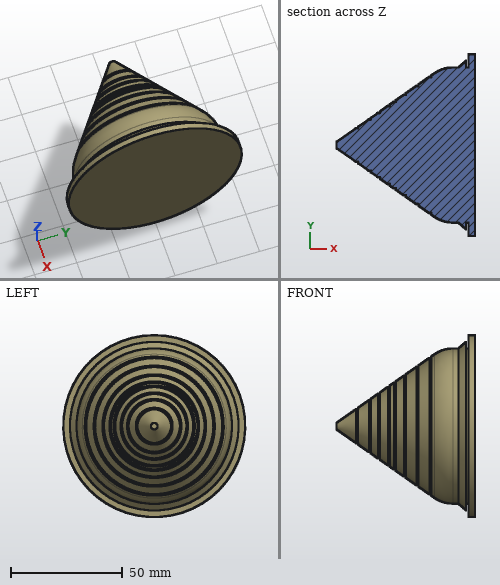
import cadquery as cq
import math

length = 62.5
flange_radius = 41.0
flange_thickness = 3.0
body_radius = 35.0
tip_radius = 1.5
cone_half_angle_degrees = 35
cone_half_angle = math.radians(cone_half_angle_degrees)
shoulder_end = 52.4

barb_radius = 38.0
barb_length = 3.45
barb_gap = 1.1

groove_radius = 0.5
groove_positions = [9.35, 15.0, 19.2, 23.6, 26.3, 30.8, 36.5, 42.2]

entry_angle = 180 + cone_half_angle_degrees
floor_angle = 270 + cone_half_angle_degrees
exit_angle = 360 + cone_half_angle_degrees

flange_start = length - flange_thickness
barb_end = flange_start - barb_gap
barb_start = barb_end - barb_length


def cone_radius(x):
    return tip_radius + x * math.tan(cone_half_angle)


corner_x = (body_radius - tip_radius) / math.tan(cone_half_angle)
shoulder_radius = (shoulder_end - corner_x) / math.tan(cone_half_angle / 2)
shoulder_center_radius = body_radius - shoulder_radius


def shoulder_point(angle):
    """Point on the shoulder arc where the surface slopes by the given angle."""
    return (
        shoulder_end - shoulder_radius * math.sin(angle),
        shoulder_center_radius + shoulder_radius * math.cos(angle),
    )


def groove_point(x, angle_degrees):
    """Point on the groove circle centred on the cone at x, angle measured from +X."""
    angle = math.radians(angle_degrees)
    return (
        x + groove_radius * math.cos(angle),
        cone_radius(x) + groove_radius * math.sin(angle),
    )


def add_groove(profile, x):
    """Run along the cone to the groove, then around its semicircular floor."""
    return profile.lineTo(*groove_point(x, entry_angle)).threePointArc(
        groove_point(x, floor_angle),
        groove_point(x, exit_angle),
    )


profile = cq.Workplane("XZ").lineTo(0, tip_radius)
for position in groove_positions:
    profile = add_groove(profile, position)

profile = (
    profile.lineTo(*shoulder_point(cone_half_angle))
    .threePointArc(shoulder_point(cone_half_angle / 2), shoulder_point(0))
    .lineTo(barb_start, body_radius)
    .lineTo(barb_end, barb_radius)
    .lineTo(barb_end, body_radius)
    .lineTo(flange_start, body_radius)
    .lineTo(flange_start, flange_radius)
    .lineTo(length, flange_radius)
    .lineTo(length, 0)
    .close()
)

result = profile.revolve(360, (0, 0, 0), (1, 0, 0))